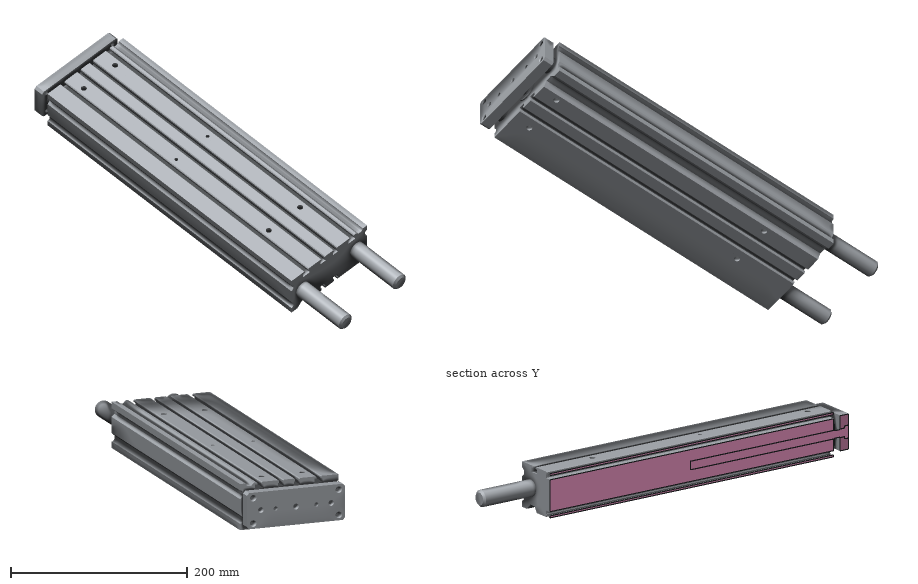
import cadquery as cq
import math

TOTAL_LENGTH = 488.0
WIDTH = 120.0
HEIGHT = 54.0
HALF_WIDTH = WIDTH / 2
HALF_HEIGHT = HEIGHT / 2
HOLE_SPACING_Y = 50.0

PLATE_THICKNESS = 12.0
PLATE_HEIGHT = 42.5
PLATE_CORNER_CHAMFER = 3.0
SCREW_HOLE_DIAMETER = 6.0
SCREW_SINK_DIAMETER = 8.0
SCREW_SINK_ANGLE = 90.0
SCREW_SPACING_Y = 104.5
SCREW_SPACING_Z = 30.0
PLATE_PIN_HOLE_DIAMETER = 5.0

GUIDE_ROD_DIAMETER = 20.0
GUIDE_ROD_SPACING = 86.0
ROD_END_CHAMFER = 2.5
PISTON_ROD_DIAMETER = 16.5
PISTON_ROD_END = 219.5
PISTON_HEAD_DIAMETER = 20.0
PISTON_HEAD_LENGTH = 6.0
SOCKET_DIAMETER = 4.0
SOCKET_DEPTH = 4.0
SOCKET_SINK = 1.5

HOUSING_START = 21.0
HOUSING_LENGTH = 395.5
MOUNT_HOLE_DIAMETER = 7.0
MOUNT_HOLE_FIRST_X = 44.0
MOUNT_HOLE_PITCH = 150.0
DOWEL_HOLE_DIAMETER = 4.5
DOWEL_HOLE_DEPTH = 7.5

OUTER_SLOT_Y = 36.0
OUTER_SLOT_OPENING = 5.5
OUTER_SLOT_INNER_WIDTH = 10.5
OUTER_SLOT_LIP = 2.5

INNER_SLOT_Y = 10.0
INNER_SLOT_OPENING = 5.0
INNER_SLOT_INNER_WIDTH = 8.0
INNER_SLOT_LIP = 3.5
SLOT_DEPTH = 8.0
SLOT_MOUTH_CHAMFER = 1.0

GROOVE_RADIUS = 3.5
GROOVE_FLOOR = 3.5
GROOVE_SLOPE = 3.5
SIDE_GROOVE_OUTER_Z = 19.5
TOP_GROOVE_OUTER_Y = 53.0

WIDE_GROOVE_INNER_Y = -31.0
WIDE_GROOVE_OUTER_Y = -50.8
WIDE_GROOVE_DEPTH = 7.0
WIDE_GROOVE_INNER_RUN = 4.5

COLLAR_DIAMETER = 29.5
COLLAR_THICKNESS = 1.5

EACH_SIDE = (-1, 1)


def rod(diameter, start, end, y=0.0):
    """Round bar along X from start to end."""
    return cq.Workplane("YZ", origin=(start, y, 0)).circle(diameter / 2).extrude(end - start)


def housing_prism(points):
    """Outline of (y, z) points drawn out over the length of the housing."""
    outline = cq.Workplane("YZ", origin=(HOUSING_START, 0, 0)).polyline(points).close()
    return outline.extrude(HOUSING_LENGTH)


def t_slot(y, side, opening, inner_width, lip):
    """T-slot cutter; side is +1 for the top face and -1 for the bottom face."""
    face = side * HALF_HEIGHT
    mouth = opening / 2 + SLOT_MOUTH_CHAMFER
    chamfer_end = side * (HALF_HEIGHT - SLOT_MOUTH_CHAMFER)
    under_lip = side * (HALF_HEIGHT - lip)
    floor = side * (HALF_HEIGHT - SLOT_DEPTH)
    return housing_prism([
        (y - mouth, face),
        (y - opening / 2, chamfer_end),
        (y - opening / 2, under_lip),
        (y - inner_width / 2, under_lip),
        (y - inner_width / 2, floor),
        (y + inner_width / 2, floor),
        (y + inner_width / 2, under_lip),
        (y + opening / 2, under_lip),
        (y + opening / 2, chamfer_end),
        (y + mouth, face),
    ])


def outer_slot(y_side):
    return t_slot(y_side * OUTER_SLOT_Y, 1, OUTER_SLOT_OPENING, OUTER_SLOT_INNER_WIDTH, OUTER_SLOT_LIP)


def inner_slot(y_side, z_side):
    y = y_side * INNER_SLOT_Y
    return t_slot(y, z_side, INNER_SLOT_OPENING, INNER_SLOT_INNER_WIDTH, INNER_SLOT_LIP)


def cable_groove(outer_edge, face, place):
    """Groove cutter with one rounded wall, a flat floor and one sloped wall.

    place turns (distance along the face, distance from the centre) into a (y, z) point.
    """
    floor_start = outer_edge - GROOVE_RADIUS
    floor_end = floor_start - GROOVE_FLOOR
    inner_edge = floor_end - GROOVE_SLOPE
    floor = face - GROOVE_RADIUS
    arc_offset = GROOVE_RADIUS * math.sqrt(0.5)
    return (
        cq.Workplane("YZ", origin=(HOUSING_START, 0, 0))
        .moveTo(*place(outer_edge, face))
        .threePointArc(
            place(floor_start + arc_offset, face - arc_offset),
            place(floor_start, floor),
        )
        .lineTo(*place(floor_end, floor))
        .lineTo(*place(inner_edge, face))
        .close()
        .extrude(HOUSING_LENGTH)
    )


def top_groove():
    return cable_groove(TOP_GROOVE_OUTER_Y, HALF_HEIGHT, lambda along, across: (along, across))


def side_groove(y_side, z_side):
    return cable_groove(
        SIDE_GROOVE_OUTER_Z, HALF_WIDTH,
        lambda along, across: (y_side * across, z_side * along),
    )


def wide_groove():
    floor = WIDE_GROOVE_DEPTH - HALF_HEIGHT
    return housing_prism([
        (WIDE_GROOVE_INNER_Y, -HALF_HEIGHT),
        (WIDE_GROOVE_INNER_Y - WIDE_GROOVE_INNER_RUN, floor),
        (WIDE_GROOVE_OUTER_Y + WIDE_GROOVE_DEPTH, floor),
        (WIDE_GROOVE_OUTER_Y, -HALF_HEIGHT),
    ])


def vertical_hole(x, y, diameter, depth):
    """Cutter for a hole drilled down from the top face."""
    return cq.Workplane("XY", origin=(x, y, HALF_HEIGHT)).circle(diameter / 2).extrude(-depth)


def make_housing(rods):
    body = cq.Workplane("XY").box(HOUSING_LENGTH, WIDTH, HEIGHT)
    body = body.translate((HOUSING_START + HOUSING_LENGTH / 2, 0, 0))

    for y_side in EACH_SIDE:
        body = body.cut(outer_slot(y_side))
        for z_side in EACH_SIDE:
            body = body.cut(inner_slot(y_side, z_side))
            body = body.cut(side_groove(y_side, z_side))
    body = body.cut(top_groove()).cut(wide_groove())

    dowel_x = MOUNT_HOLE_FIRST_X + MOUNT_HOLE_PITCH
    last_x = dowel_x + MOUNT_HOLE_PITCH
    for y_side in EACH_SIDE:
        y = y_side * HOLE_SPACING_Y / 2
        for x in (MOUNT_HOLE_FIRST_X, last_x):
            body = body.cut(vertical_hole(x, y, MOUNT_HOLE_DIAMETER, HEIGHT))
        body = body.cut(vertical_hole(dowel_x, y, DOWEL_HOLE_DIAMETER, DOWEL_HOLE_DEPTH))

    for bar in rods:
        body = body.cut(bar)
    return body


def make_end_plate():
    plate = cq.Workplane("XY").box(PLATE_THICKNESS, WIDTH, PLATE_HEIGHT)
    plate = plate.edges("|X").chamfer(PLATE_CORNER_CHAMFER)
    plate = plate.translate((PLATE_THICKNESS / 2, 0, 0))
    plate = (
        plate.faces("<X").workplane(origin=(0, 0, 0))
        .rarray(SCREW_SPACING_Y, SCREW_SPACING_Z, 2, 2)
        .cskHole(SCREW_HOLE_DIAMETER, SCREW_SINK_DIAMETER, SCREW_SINK_ANGLE)
    )
    plate = (
        plate.faces("<X").workplane(origin=(0, 0, 0))
        .rarray(HOLE_SPACING_Y, 5, 2, 1)
        .hole(PLATE_PIN_HOLE_DIAMETER)
    )
    for y_side in EACH_SIDE:
        plate = plate.cut(rod(GUIDE_ROD_DIAMETER, 0, PLATE_THICKNESS, y_side * GUIDE_ROD_SPACING / 2))
    plate = plate.cut(rod(PISTON_HEAD_DIAMETER, 0, PISTON_HEAD_LENGTH))
    return plate.cut(rod(PISTON_ROD_DIAMETER, 0, PLATE_THICKNESS))


def drill_socket(bar, y=0.0):
    """Blind countersunk hole in the front end of a rod."""
    hole = rod(SOCKET_DIAMETER, 0, SOCKET_DEPTH, y)
    sink = (
        cq.Workplane("YZ", origin=(0, y, 0))
        .circle(SOCKET_DIAMETER / 2 + SOCKET_SINK)
        .workplane(offset=SOCKET_SINK)
        .circle(SOCKET_DIAMETER / 2)
        .loft()
    )
    return bar.cut(hole).cut(sink)


def make_guide_rod(y):
    bar = rod(GUIDE_ROD_DIAMETER, 0, TOTAL_LENGTH, y)
    bar = bar.faces(">X").chamfer(ROD_END_CHAMFER)
    return drill_socket(bar, y)


def make_piston_rod():
    bar = rod(PISTON_ROD_DIAMETER, 0, PISTON_ROD_END)
    bar = bar.union(rod(PISTON_HEAD_DIAMETER, 0, PISTON_HEAD_LENGTH))
    return drill_socket(bar)


def make_collar():
    start = HOUSING_START - COLLAR_THICKNESS
    ring = rod(COLLAR_DIAMETER, start, HOUSING_START)
    return ring.cut(rod(PISTON_ROD_DIAMETER, start, HOUSING_START))


guide_rods = [make_guide_rod(y_side * GUIDE_ROD_SPACING / 2) for y_side in EACH_SIDE]
piston_rod = make_piston_rod()
collar = make_collar()
end_plate = make_end_plate()
housing = make_housing([*guide_rods, piston_rod])

result = cq.Compound.makeCompound([
    housing.val(),
    end_plate.val(),
    collar.val(),
    piston_rod.val(),
    *[guide_rod.val() for guide_rod in guide_rods],
])